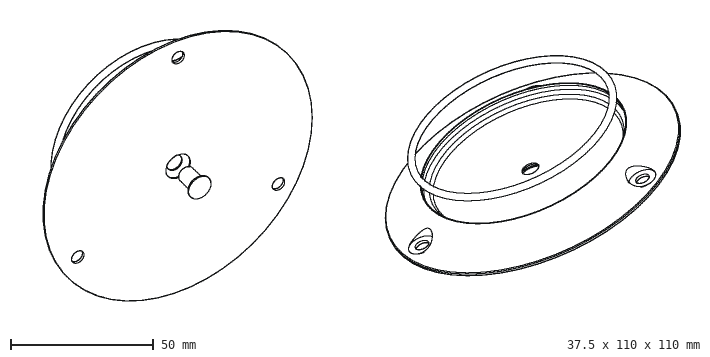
import cadquery as cq
import math

flange_radius = 55.0
flange_thickness = 1.1
rim_chamfer = 0.3
flange_height = 10.0
flare_start_radius = 53.0
flare_arc_radius = 16.2

seat_bore_radius = 76.5 / 2
groove_depth = 0.2
groove_half_width = 0.9
groove_center_x = -8.2
seat_x = -6.6
seat_fillet = 0.3
step_top_radius = 36.4
floor_radius = 35.5
floor_x = -5.2

dish_outer_radius = 29.0
cone_outer_radius = 23.9
cone_inner_radius = 16.4
dish_inner_radius = 13.8
dish_depth = 2.2

mount_count = 3
mount_circle_radius = 47.5
mount_hole_diameter = 5.1
counterbore_diameter = 10.0

ring_outer_diameter = 78.0
ring_wire_diameter = 2.6
ring_center_x = -21.5

screw_diameter = 6.3
screw_head_diameter = 9.2
screw_tip_x = 5.0
screw_length = 9.7
screw_tip_chamfer = 0.4
screw_head_land = 0.5
screw_head_cone = (screw_head_diameter - screw_diameter) / 2

countersink_diameter = 10.0
countersink_cone = (countersink_diameter - screw_diameter) / 2


def revolve_about_x(profile):
    return profile.close().revolve(360, (0, 0, 0), (1, 0, 0))


def x_cylinder(diameter, start_x, end_x, y=0.0, z=0.0):
    plane = cq.Workplane("YZ", origin=(start_x, y, z))
    return plane.circle(diameter / 2).extrude(end_x - start_x)


def flare_radius_at(x):
    """Radius of the concave flare at a given X; it meets the flange face squarely."""
    offset = x + flange_thickness + flare_arc_radius
    return flare_start_radius - math.sqrt(flare_arc_radius**2 - offset**2)


def make_screw_hole(start_x):
    """Through hole countersunk from the back to take the screw head."""
    profile = (
        cq.Workplane("XY")
        .moveTo(start_x, 0)
        .lineTo(start_x, screw_diameter / 2)
        .lineTo(-screw_head_land - countersink_cone, screw_diameter / 2)
        .lineTo(-screw_head_land, countersink_diameter / 2)
        .lineTo(0, countersink_diameter / 2)
        .lineTo(0, 0)
    )
    return revolve_about_x(profile)


def make_flange():
    crown_x = -flange_height
    middle_x = -(flange_thickness + flange_height) / 2
    dish_x = floor_x + dish_depth
    outer_bend = (dish_outer_radius + cone_outer_radius) / 2
    inner_bend = (cone_inner_radius + dish_inner_radius) / 2
    slope = dish_depth / (outer_bend - inner_bend)
    cone_outer_x = floor_x + slope * (outer_bend - cone_outer_radius)
    cone_inner_x = dish_x - slope * (cone_inner_radius - inner_bend)
    profile = (
        cq.Workplane("XY")
        .moveTo(0, 0)
        .lineTo(0, flange_radius)
        .lineTo(rim_chamfer - flange_thickness, flange_radius)
        .lineTo(-flange_thickness, flange_radius - rim_chamfer)
        .lineTo(-flange_thickness, flare_start_radius)
        .threePointArc((middle_x, flare_radius_at(middle_x)), (crown_x, flare_radius_at(crown_x)))
        .lineTo(crown_x, seat_bore_radius)
        .lineTo(groove_center_x - groove_half_width, seat_bore_radius)
        .threePointArc(
            (groove_center_x, seat_bore_radius + groove_depth),
            (groove_center_x + groove_half_width, seat_bore_radius),
        )
        .lineTo(seat_x - seat_fillet, seat_bore_radius)
        .tangentArcPoint((seat_x, seat_bore_radius - seat_fillet), relative=False)
        .lineTo(seat_x, step_top_radius)
        .lineTo(floor_x, floor_radius)
        .lineTo(floor_x, dish_outer_radius)
        .tangentArcPoint((cone_outer_x, cone_outer_radius), relative=False)
        .lineTo(cone_inner_x, cone_inner_radius)
        .tangentArcPoint((dish_x, dish_inner_radius), relative=False)
        .lineTo(dish_x, 0)
    )
    flange = revolve_about_x(profile)
    flange = flange.cut(make_screw_hole(crown_x))
    for index in range(mount_count):
        angle = math.radians(90 + index * 360 / mount_count)
        y = mount_circle_radius * math.cos(angle)
        z = mount_circle_radius * math.sin(angle)
        flange = flange.cut(x_cylinder(mount_hole_diameter, crown_x, 0, y, z))
        flange = flange.cut(x_cylinder(counterbore_diameter, crown_x, -flange_thickness, y, z))
    return flange


def make_ring():
    wire_radius = ring_wire_diameter / 2
    center_radius = ring_outer_diameter / 2 - wire_radius
    wire = cq.Workplane("XY").center(ring_center_x, center_radius).circle(wire_radius)
    return wire.revolve(360, (0, -center_radius, 0), (1, -center_radius, 0))


def make_screw():
    head_x = screw_tip_x + screw_length
    land_x = head_x - screw_head_land
    profile = (
        cq.Workplane("XY")
        .moveTo(screw_tip_x, 0)
        .lineTo(screw_tip_x, screw_diameter / 2 - screw_tip_chamfer)
        .lineTo(screw_tip_x + screw_tip_chamfer, screw_diameter / 2)
        .lineTo(land_x - screw_head_cone, screw_diameter / 2)
        .lineTo(land_x, screw_head_diameter / 2)
        .lineTo(head_x, screw_head_diameter / 2)
        .lineTo(head_x, 0)
    )
    return revolve_about_x(profile)


flange = make_flange()
ring = make_ring()
screw = make_screw()
result = cq.Compound.makeCompound([flange.val(), ring.val(), screw.val()])